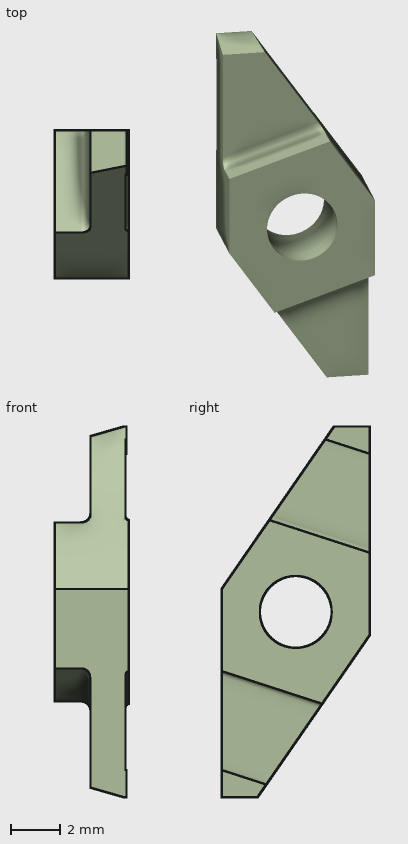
import cadquery as cq
import math

THICKNESS = 3
WIDTH = 6
LENGTH = 15
TIP_WIDTH = 1.45
SIDE_CORNER_Z = 0.93
BORE_DIAMETER = 2.9

BLADE_FRONT_X = -0.06
BLADE_BACK_X = 1.36
LAND_BACK_X = 1.41
TIP_FLAT = 0.1
TIP_RELIEF_ANGLE = 16

SHOULDER_TILT = 18
FRONT_SHOULDER_Z = 3.25
BACK_SHOULDER_Z = 3.36
LAND_STEP_Z = 7.36
FRONT_FILLET = 0.38
BACK_FILLET = 0.18

CLEARANCE = 15
HALF_X = THICKNESS / 2
HALF_Y = WIDTH / 2
HALF_Z = LENGTH / 2


def make_body():
    half_outline = [
        (HALF_Y, HALF_Z),
        (HALF_Y - TIP_WIDTH, HALF_Z),
        (-HALF_Y, SIDE_CORNER_Z),
    ]
    outline = half_outline + [(-y, -z) for y, z in half_outline]
    plate = cq.Workplane("YZ").polyline(outline).close().extrude(HALF_X, both=True)
    bore = cq.Workplane("YZ").circle(BORE_DIAMETER / 2).extrude(HALF_X, both=True)
    return plate.cut(bore)


def tilted_block(x_start, x_end, z_start, z_end):
    """Long block between two X faces, its ends tilted and crossing Y = 0 at the given heights."""
    scale = math.cos(math.radians(SHOULDER_TILT))
    low = z_start * scale
    high = z_end * scale
    return (
        cq.Workplane("XY")
        .box(x_end - x_start, 2 * CLEARANCE, high - low, centered=(False, True, False))
        .translate((x_start, 0, low))
    )


def tilt(block):
    return block.rotate((0, 0, 0), (1, 0, 0), -SHOULDER_TILT)


def front_recess():
    block = tilted_block(-CLEARANCE, BLADE_FRONT_X, FRONT_SHOULDER_Z, CLEARANCE)
    return tilt(block.edges(">X and <Z").fillet(FRONT_FILLET))


def back_recess():
    groove = tilted_block(BLADE_BACK_X, CLEARANCE, BACK_SHOULDER_Z, LAND_STEP_Z)
    groove = groove.edges("<X and <Z").fillet(BACK_FILLET)
    land = tilted_block(LAND_BACK_X, CLEARANCE, LAND_STEP_Z, CLEARANCE)
    return tilt(groove.union(land))


def tip_relief():
    """Wedge that slopes the end face down from the tip flat to the front of the blade."""
    relief_start_x = LAND_BACK_X - TIP_FLAT
    run = relief_start_x + HALF_X
    drop = run * math.tan(math.radians(TIP_RELIEF_ANGLE))
    return (
        cq.Workplane("XZ")
        .polyline([(relief_start_x, HALF_Z), (-HALF_X, HALF_Z), (-HALF_X, HALF_Z - drop)])
        .close()
        .extrude(HALF_Y, both=True)
    )


result = make_body()
for turn in (0, 180):
    for cutter in (front_recess(), back_recess(), tip_relief()):
        result = result.cut(cutter.rotate((0, 0, 0), (1, 0, 0), turn))